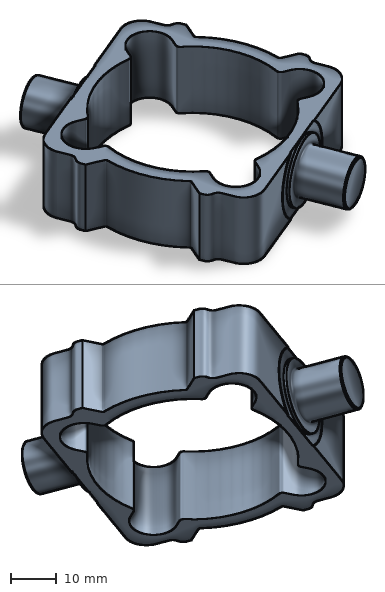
import cadquery as cq
import math

length = 77.0
height = 18.0
body_width = 52.05
corner_radius = 5.0
half_width = body_width / 2

rib_tip = 56.0 / 2
rib_foot_x = 17.95
rib_height = rib_tip - half_width
rib_blend_radius = rib_height
rib_flat = 1.1
saddle_radius = 26.6
saddle_fillet = 0.5

bore_radius = 23.0
lobe_radius = 5.3
lobe_offset = 17.8
lobe_edge_fillet = 1.0

pin_diameter = 12.0
pin_chamfer = 0.3
pin_root_fillet = 0.5
pad_diameter = 17.0
pad_face_x = 26.6
recess_diameter = 22.1
recess_depth = 0.15


def make_outline():
    """Closed body outline, walked clockwise, and one corner point of its rib saddles."""
    blend_angle = math.acos(1 - rib_height / (2 * rib_blend_radius))
    blend_run = rib_blend_radius * math.sin(blend_angle)
    half_run = rib_blend_radius * math.sin(blend_angle / 2)
    half_rise = rib_blend_radius * (1 - math.cos(blend_angle / 2))
    rib_top_x = rib_foot_x - 2 * blend_run
    slope_start_x = rib_top_x - rib_flat

    flank_sum = rib_tip - slope_start_x
    saddle_x = (-flank_sum + math.sqrt(2 * saddle_radius**2 - flank_sum**2)) / 2
    saddle_y = saddle_x + flank_sum

    outline = cq.Workplane("XY").moveTo(-half_width, 0)
    for side in (1, -1):

        def at(x, y):
            return side * x, side * y

        outline = (
            outline.lineTo(*at(-half_width, half_width))
            .lineTo(*at(-rib_foot_x, half_width))
            .threePointArc(
                at(-rib_foot_x + half_run, half_width + half_rise),
                at(-rib_foot_x + blend_run, half_width + rib_height / 2),
            )
            .threePointArc(at(-rib_top_x - half_run, rib_tip - half_rise), at(-rib_top_x, rib_tip))
            .lineTo(*at(-slope_start_x, rib_tip))
            .lineTo(*at(-saddle_x, saddle_y))
            .threePointArc(at(0, saddle_radius), at(saddle_x, saddle_y))
            .lineTo(*at(slope_start_x, rib_tip))
            .lineTo(*at(rib_top_x, rib_tip))
            .threePointArc(
                at(rib_top_x + half_run, rib_tip - half_rise),
                at(rib_foot_x - blend_run, half_width + rib_height / 2),
            )
            .threePointArc(at(rib_foot_x - half_run, half_width + half_rise), at(rib_foot_x, half_width))
            .lineTo(*at(half_width, half_width))
        )
    return outline.close(), (saddle_x, saddle_y)


def edges_at(x, y):
    """Selector for the four mirrored vertical edges through (x, y)."""
    reach = 0.1
    selector = None
    for sx in (-1, 1):
        for sy in (-1, 1):
            low = (sx * x - reach, sy * y - reach, -height)
            high = (sx * x + reach, sy * y + reach, height)
            box = cq.selectors.BoxSelector(low, high)
            selector = box if selector is None else selector + box
    return selector


def make_body():
    outline, (saddle_x, saddle_y) = make_outline()
    body = outline.extrude(height / 2, both=True)
    body = body.edges(edges_at(half_width, half_width)).fillet(corner_radius)
    return body.edges(edges_at(saddle_x, saddle_y)).fillet(saddle_fillet)


def make_opening():
    opening = cq.Workplane("XY").circle(bore_radius).extrude(height / 2, both=True)
    lobe_distance = lobe_offset * math.sqrt(2)
    for angle in (45, -45):
        slot_length = 2 * (lobe_distance + lobe_radius)
        slot = cq.Workplane("XY").slot2D(slot_length, 2 * lobe_radius, angle)
        opening = opening.union(slot.extrude(height / 2, both=True))

    edge_angle = math.asin(lobe_radius / bore_radius)
    for turn in (edge_angle, -edge_angle):
        edge_x = bore_radius * math.cos(math.pi / 4 + turn)
        edge_y = bore_radius * math.sin(math.pi / 4 + turn)
        opening = opening.edges(edges_at(edge_x, edge_y)).fillet(lobe_edge_fillet)
    return opening


def make_recess():
    """Shallow ring cut around the pad on the +X side."""
    floor_x = half_width - recess_depth
    return cq.Workplane("YZ", origin=(floor_x, 0, 0)).circle(recess_diameter / 2).extrude(recess_depth)


def make_trunnion():
    """Round pad and pin on the +X side."""
    floor_x = half_width - recess_depth
    pad = cq.Workplane("YZ", origin=(floor_x, 0, 0)).circle(pad_diameter / 2).extrude(pad_face_x - floor_x)
    pin_length = length / 2 - pad_face_x
    trunnion = pad.faces(">X").workplane().circle(pin_diameter / 2).extrude(pin_length)
    trunnion = trunnion.faces(">X").chamfer(pin_chamfer)
    root = cq.selectors.BoxSelector(
        (pad_face_x - pin_chamfer, -pin_diameter, -pin_diameter),
        (pad_face_x + pin_chamfer, pin_diameter, pin_diameter),
    )
    pin_root = trunnion.edges(root).edges(cq.selectors.RadiusNthSelector(0))
    return pin_root.fillet(pin_root_fillet)


result = make_body().cut(make_opening())
for turn in (0, 180):
    axis_end = (0, 0, 1)
    result = result.cut(make_recess().rotate((0, 0, 0), axis_end, turn))
    result = result.union(make_trunnion().rotate((0, 0, 0), axis_end, turn))